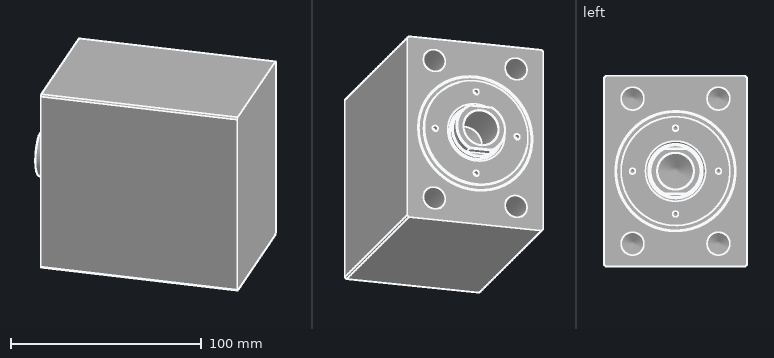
import cadquery as cq
import math


HOUSING_LENGTH = 107.0
HOUSING_WIDTH = 75.0
HOUSING_HEIGHT = 100.0
HOUSING_EDGE_CHAMFER = 1.0

MOUNT_HOLE_DIA = 12.0
MOUNT_HOLE_DEPTH = 25.0
MOUNT_SPACING_Y = 45.0
MOUNT_SPACING_Z = 76.0

GLAND_DIA = 62.0
GLAND_DEPTH = 30.0
GLAND_BORE_CHAMFER = 0.6
COLLAR_DIA = 57.0
COLLAR_HEIGHT = 1.75
GLAND_COUNTERSINK_DIA = 31.5
GLAND_COUNTERSINK_FLOOR_DIA = 28.7

PIN_HOLE_DIA = 3.0
PIN_HOLE_DEPTH = 5.0
PIN_CIRCLE_DIA = 45.0
PIN_COUNT = 4

ROD_DIA = 28.0
ROD_PROTRUSION = 10.0
SHOULDER_PROTRUSION = 4.0
SHOULDER_CHAMFER = 0.5
NOSE_DIA = 27.0
NOSE_CHAMFER = 0.5
NOSE_ACROSS_FLATS = 24.0
ROD_HOLE_DIA = 19.0
ROD_HOLE_DEPTH = 28.0
ROD_HOLE_CHAMFER = 0.25

DRILL_POINT_ANGLE = 118.0


def turned(profile):
    """Revolve a closed outline of (x, radius) points about the X axis."""
    return cq.Workplane("XY").polyline(profile).close().revolve(360, (0, 0, 0), (1, 0, 0))


def drilled_hole(mouth_x, diameter, depth):
    """Blind hole along +X from mouth_x, ending in a drill-point cone."""
    radius = diameter / 2
    cone_depth = radius / math.tan(math.radians(DRILL_POINT_ANGLE / 2))
    full_depth_x = mouth_x + depth
    return turned([
        (mouth_x, 0),
        (mouth_x, radius),
        (full_depth_x, radius),
        (full_depth_x + cone_depth, 0),
    ])


def make_housing():
    block = (
        cq.Workplane("XY")
        .box(HOUSING_LENGTH, HOUSING_WIDTH, HOUSING_HEIGHT, centered=(False, True, True))
        .edges("|X")
        .chamfer(HOUSING_EDGE_CHAMFER)
    )
    bore_radius = GLAND_DIA / 2
    gland_bore = turned([
        (0, 0),
        (0, bore_radius + GLAND_BORE_CHAMFER),
        (GLAND_BORE_CHAMFER, bore_radius),
        (GLAND_DEPTH, bore_radius),
        (GLAND_DEPTH, 0),
    ])
    housing = block.cut(gland_bore)

    mount_hole = drilled_hole(0, MOUNT_HOLE_DIA, MOUNT_HOLE_DEPTH)
    for side_y in (-1, 1):
        for side_z in (-1, 1):
            offset = (0, side_y * MOUNT_SPACING_Y / 2, side_z * MOUNT_SPACING_Z / 2)
            housing = housing.cut(mount_hole.translate(offset))
    return housing


def make_gland():
    rod_radius = ROD_DIA / 2
    countersink_radius = GLAND_COUNTERSINK_DIA / 2
    floor_radius = GLAND_COUNTERSINK_FLOOR_DIA / 2
    countersink_depth = countersink_radius - floor_radius
    gland = turned([
        (-COLLAR_HEIGHT, countersink_radius),
        (-COLLAR_HEIGHT, COLLAR_DIA / 2),
        (0, COLLAR_DIA / 2),
        (0, GLAND_DIA / 2),
        (GLAND_DEPTH, GLAND_DIA / 2),
        (GLAND_DEPTH, rod_radius),
        (-COLLAR_HEIGHT + countersink_depth, rod_radius),
        (-COLLAR_HEIGHT + countersink_depth, floor_radius),
    ])

    pin_hole = drilled_hole(-COLLAR_HEIGHT, PIN_HOLE_DIA, PIN_HOLE_DEPTH)
    pin_hole = pin_hole.translate((0, PIN_CIRCLE_DIA / 2, 0))
    for index in range(PIN_COUNT):
        angle = index * 360 / PIN_COUNT
        gland = gland.cut(pin_hole.rotate((0, 0, 0), (1, 0, 0), angle))
    return gland


def make_rod():
    rod_radius = ROD_DIA / 2
    nose_radius = NOSE_DIA / 2
    shaft = turned([
        (-SHOULDER_PROTRUSION, 0),
        (-SHOULDER_PROTRUSION, rod_radius - SHOULDER_CHAMFER),
        (-SHOULDER_PROTRUSION + SHOULDER_CHAMFER, rod_radius),
        (GLAND_DEPTH, rod_radius),
        (GLAND_DEPTH, 0),
    ])

    nose_length = ROD_PROTRUSION - SHOULDER_PROTRUSION
    flats = cq.Workplane("XY").box(
        nose_length, NOSE_DIA, NOSE_ACROSS_FLATS, centered=(False, True, True)
    )
    nose = (
        cq.Workplane("YZ")
        .circle(nose_radius)
        .extrude(nose_length)
        .intersect(flats)
        .faces("<X")
        .chamfer(NOSE_CHAMFER)
        .translate((-ROD_PROTRUSION, 0, 0))
    )

    hole_radius = ROD_HOLE_DIA / 2
    hole_mouth = turned([
        (-ROD_PROTRUSION, 0),
        (-ROD_PROTRUSION, hole_radius + ROD_HOLE_CHAMFER),
        (-ROD_PROTRUSION + ROD_HOLE_CHAMFER, hole_radius),
        (-ROD_PROTRUSION + ROD_HOLE_CHAMFER, 0),
    ])
    hole = drilled_hole(-ROD_PROTRUSION, ROD_HOLE_DIA, ROD_HOLE_DEPTH)
    return shaft.union(nose).cut(hole).cut(hole_mouth)


housing = make_housing()
gland = make_gland()
rod = make_rod()

result = cq.Compound.makeCompound([housing.val(), gland.val(), rod.val()])